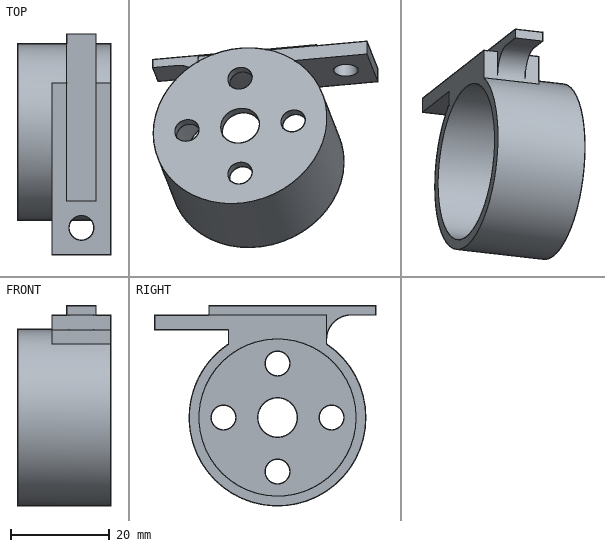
import cadquery as cq
import math

cup_length = 19.0
cup_diameter = 36.0
bore_diameter = 32.0
end_wall = 2.0
center_hole_diameter = 8.0
bolt_hole_diameter = 5.0
bolt_circle_radius = 11.0
bolt_hole_count = 4

plate_width = 12.0
plate_thickness = 3.0
plate_front_y = -25.0
block_half_length = 10.0
block_height = 5.9
plate_hole_diameter = 5.0
plate_hole_y = -19.5

rail_width = 6.0
rail_thickness = 1.9
rail_front_y = -14.0
rail_back_y = 20.0
gusset_radius = 5.0

block_foot_z = math.sqrt((cup_diameter / 2) ** 2 - block_half_length**2)
plate_top_z = block_foot_z + block_height
plate_bottom_z = plate_top_z - plate_thickness
rail_top_z = plate_top_z + rail_thickness
plate_center_x = cup_length - plate_width / 2


def box_between(width, y_range, z_range):
    """Box centered on the plate in X, spanning the given Y and Z ranges."""
    y_min, y_max = y_range
    z_min, z_max = z_range
    box = cq.Workplane("XY").box(width, y_max - y_min, z_max - z_min, centered=(True, False, False))
    return box.translate((plate_center_x, y_min, z_min))


def x_cylinder(diameter, start_x, end_x):
    """Cylinder on the cup axis between two X positions."""
    return cq.Workplane("YZ", origin=(start_x, 0, 0)).circle(diameter / 2).extrude(end_x - start_x)


def make_gusset():
    """Concave fillet between the block's +Y face and the underside of the rail."""
    corner_y = block_half_length
    profile = (
        cq.Workplane("YZ", origin=(plate_center_x, 0, 0))
        .moveTo(corner_y, plate_top_z)
        .lineTo(corner_y + gusset_radius, plate_top_z)
        .radiusArc((corner_y, plate_top_z - gusset_radius), -gusset_radius)
        .close()
    )
    return profile.extrude(rail_width / 2, both=True)


def make_bracket():
    """Plate with its supporting block, hole, rail and gusset."""
    block = box_between(plate_width, (-block_half_length, block_half_length), (block_foot_z, plate_top_z))
    plate = box_between(plate_width, (plate_front_y, block_half_length), (plate_bottom_z, plate_top_z))
    rail = box_between(rail_width, (rail_front_y, rail_back_y), (plate_top_z, rail_top_z))
    plate_hole = (
        cq.Workplane("XY", origin=(plate_center_x, plate_hole_y, plate_bottom_z))
        .circle(plate_hole_diameter / 2)
        .extrude(plate_thickness)
    )
    return block.union(plate).cut(plate_hole).union(rail).union(make_gusset())


def make_wall_holes():
    """Center hole and ring of bolt holes through the end wall."""
    bolt_holes = (
        cq.Workplane("YZ")
        .polarArray(bolt_circle_radius, 0, 360, bolt_hole_count)
        .circle(bolt_hole_diameter / 2)
        .extrude(end_wall)
    )
    return x_cylinder(center_hole_diameter, 0, end_wall).union(bolt_holes)


drum = x_cylinder(cup_diameter, 0, cup_length)
bore = x_cylinder(bore_diameter, end_wall, cup_length)
result = drum.union(make_bracket()).cut(bore).cut(make_wall_holes())